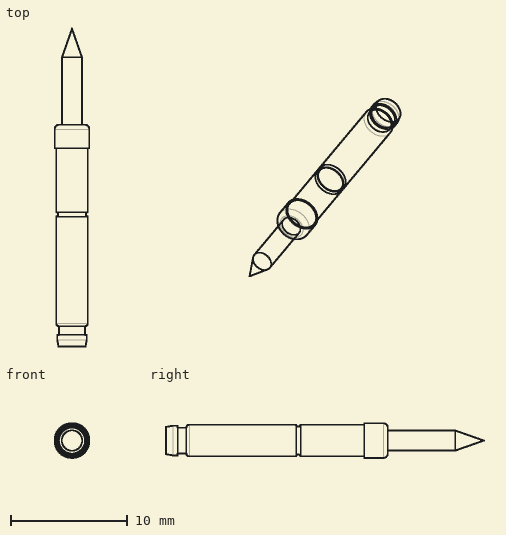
import cadquery as cq

length = 27.3

plunger_radius = 0.87
collar_radius = 1.5
body_radius = 1.36
groove_radius = 1.2
neck_radius = 1.12
head_radius = 1.28
tail_face_radius = 1.17

tip_length = 2.48
plunger_length = 5.75
collar_length = 2.05
front_body_length = 5.45
groove_width = 0.38
neck_length = 0.75
head_length = 1.0
head_taper_length = 0.6

collar_round = 0.4
body_round = body_radius - neck_radius

tip_base_y = length - tip_length
collar_front_y = tip_base_y - plunger_length
collar_back_y = collar_front_y - collar_length
groove_front_y = collar_back_y - front_body_length
groove_back_y = groove_front_y - groove_width
groove_middle_y = groove_front_y - groove_width / 2
body_back_y = head_length + neck_length


def cylinder(radius, start_y, end_y):
    """Solid cylinder about the Y axis between two axial positions."""
    base = cq.Workplane("XZ", origin=(0, start_y, 0))
    return base.circle(radius).extrude(start_y - end_y)


def cone(start_radius, start_y, end_radius, end_y):
    """Solid cone or frustum about the Y axis; an end radius of 0 gives a point."""
    axis = cq.Vector(0, 1, 0)
    origin = cq.Vector(0, start_y, 0)
    return cq.Workplane(
        cq.Solid.makeCone(start_radius, end_radius, end_y - start_y, origin, axis)
    )


tail_taper = cone(tail_face_radius, 0, head_radius, head_taper_length)
head = cylinder(head_radius, head_taper_length, head_length)
neck = cylinder(neck_radius, head_length, body_back_y)

rear_body = cylinder(body_radius, body_back_y, groove_back_y)
rear_body = rear_body.faces("<Y").edges().fillet(body_round)
groove_profile = (
    cq.Workplane("XY")
    .moveTo(0, groove_front_y)
    .lineTo(body_radius, groove_front_y)
    .threePointArc((groove_radius, groove_middle_y), (body_radius, groove_back_y))
    .lineTo(0, groove_back_y)
    .close()
)
groove_section = groove_profile.revolve(360, (0, 0, 0), (0, 1, 0))
front_body = cylinder(body_radius, groove_front_y, collar_back_y)

collar = cylinder(collar_radius, collar_back_y, collar_front_y)
collar = collar.faces(">Y").edges().fillet(collar_round)

plunger = cylinder(plunger_radius, collar_front_y, tip_base_y)
tip = cone(plunger_radius, tip_base_y, 0, length)

result = tail_taper
for section in (
    head, neck, rear_body, groove_section, front_body, collar, plunger, tip,
):
    result = result.union(section)